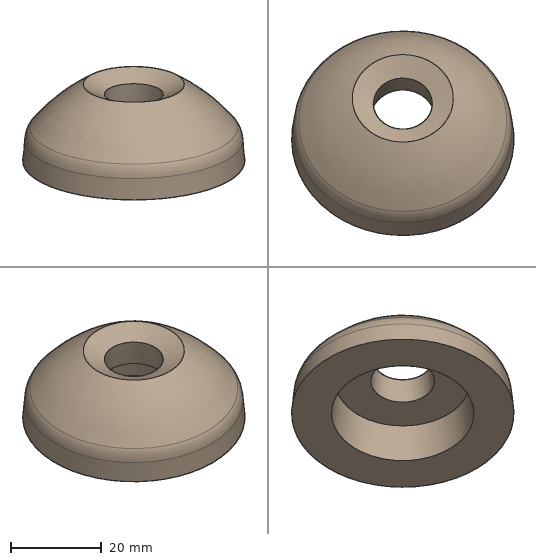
import cadquery as cq
import math

base_radius = 24.5
height = 18.0
skirt_top_radius = 24.05
skirt_height = 4.9
dome_foot_radius = 22.9
dome_foot_height = 7.85
shoulder_arc_radius = 5.0
dome_arc_radius = 46.55

countersink_radius = 11.1
countersink_depth = 2.3
throat_radius = 6.45
inner_draft = 5.0

recess_mouth_radius = 15.7
recess_depth = 9.5

throat_top_height = height - countersink_depth
draft_slope = math.tan(math.radians(inner_draft))
throat_foot_radius = throat_radius + (throat_top_height - recess_depth) * draft_slope
recess_roof_radius = recess_mouth_radius - recess_depth * draft_slope

half_section = (
    cq.Workplane("XZ")
    .moveTo(recess_mouth_radius, 0)
    .lineTo(base_radius, 0)
    .lineTo(skirt_top_radius, skirt_height)
    .radiusArc((dome_foot_radius, dome_foot_height), -shoulder_arc_radius)
    .radiusArc((countersink_radius, height), -dome_arc_radius)
    .lineTo(throat_radius, throat_top_height)
    .lineTo(throat_foot_radius, recess_depth)
    .lineTo(recess_roof_radius, recess_depth)
    .close()
)

result = half_section.revolve(360, (0, 0, 0), (0, 1, 0))